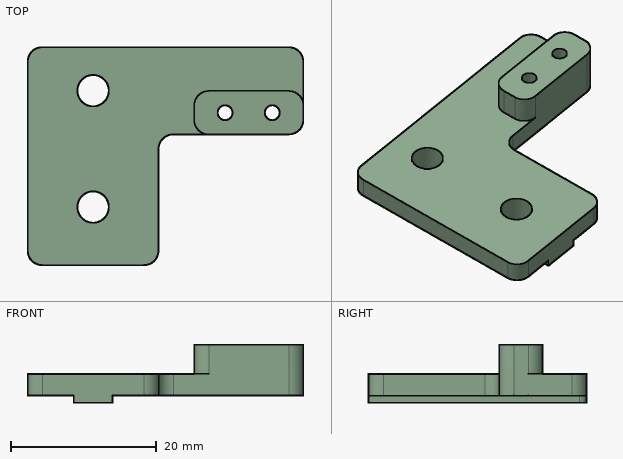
import cadquery as cq

length = 37.9
depth = 30.0
plate_thickness = 3.0
leg_width = 18.0
arm_depth = 12.0
corner_radius = 2.0

boss_length = 15.0
boss_depth = 6.0
boss_height = 4.0
pin_hole_diameter = 2.0
pin_hole_spacing = 6.5
pin_hole_end_offset = 4.3

mount_hole_diameter = 4.3
mount_hole_spacing = 16.0
mount_hole_edge_offset = 6.0

key_width = 5.4
key_height = 1.0
key_corner_radius = 1.0

leg_center_x = leg_width / 2
arm_front_y = depth - arm_depth


def make_plate():
    """L-shaped plate with its underside at Z = 0 and all upright edges rounded."""
    outline = [
        (0, 0),
        (leg_width, 0),
        (leg_width, arm_front_y),
        (length, arm_front_y),
        (length, depth),
        (0, depth),
    ]
    plate = cq.Workplane("XY").polyline(outline).close().extrude(plate_thickness)
    return plate.edges("|Z").fillet(corner_radius)


def make_boss():
    """Rounded block flush with the front and end of the arm, reaching down to Z = 0."""
    block = cq.Workplane("XY").box(
        boss_length, boss_depth, plate_thickness + boss_height, centered=False
    )
    block = block.edges("|Z").fillet(corner_radius)
    return block.translate((length - boss_length, arm_front_y, 0))


def make_key():
    """Key centred under the leg, square at the front and rounded at the back."""
    key = cq.Workplane("XY").box(key_width, depth, key_height, centered=False)
    key = key.edges("|Z and >Y").fillet(key_corner_radius)
    return key.translate((leg_center_x - key_width / 2, 0, -key_height))


def make_through_holes(centers, diameter):
    """Upright cylinders that pass from the key underside to the boss top."""
    total_height = key_height + plate_thickness + boss_height
    holes = cq.Workplane("XY").workplane(offset=-key_height).pushPoints(centers)
    return holes.circle(diameter / 2).extrude(total_height)


back_hole_y = depth - mount_hole_edge_offset
mount_centers = [
    (leg_center_x, back_hole_y),
    (leg_center_x, back_hole_y - mount_hole_spacing),
]

boss_center_y = arm_front_y + boss_depth / 2
end_pin_x = length - pin_hole_end_offset
pin_centers = [
    (end_pin_x, boss_center_y),
    (end_pin_x - pin_hole_spacing, boss_center_y),
]

result = make_plate().union(make_boss()).union(make_key())
result = result.cut(make_through_holes(mount_centers, mount_hole_diameter))
result = result.cut(make_through_holes(pin_centers, pin_hole_diameter))